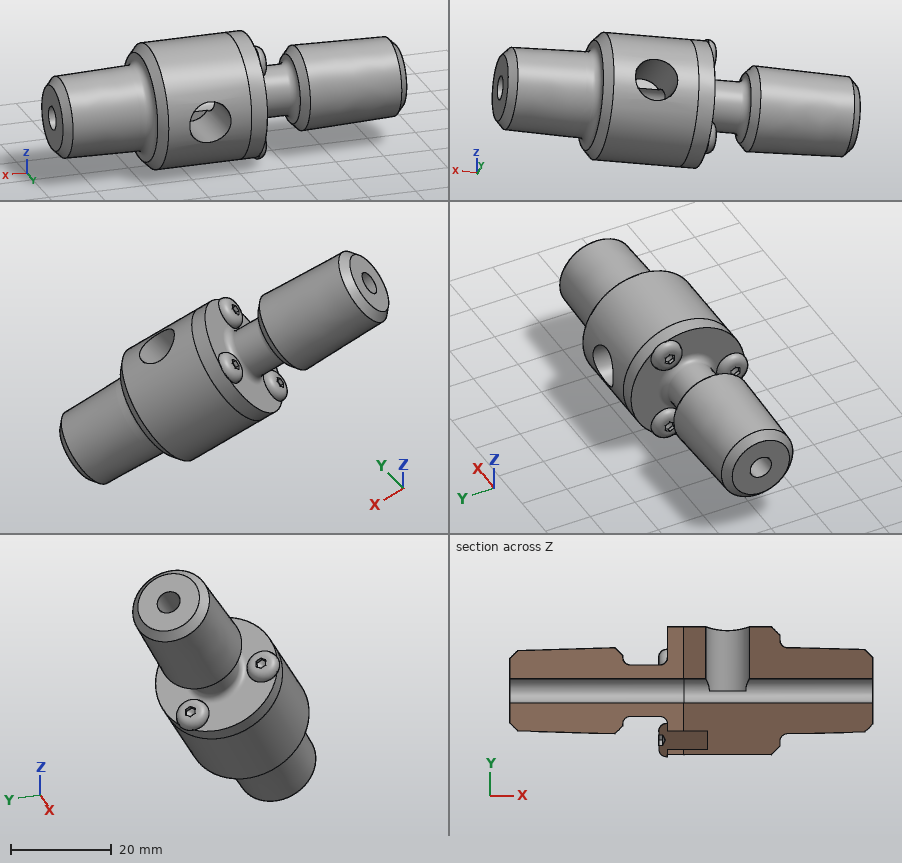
import cadquery as cq
import math

TOTAL_LENGTH = 71.95
BODY_RADIUS = 25.4 / 2
BORE_RADIUS = 4.75 / 2

CONNECTOR_RADIUS = 17.1 / 2
LEFT_TIP_RADIUS = 8.0
RIGHT_TIP_RADIUS = 8.2
END_CHAMFER = 1.6
FILLET = 1.45
ARC_RISE = FILLET * (1 - math.sqrt(0.5))

LEFT_TAPER_END = 20.85
NECK_RADIUS = 10.3 / 2
FLANGE_START = 31.2
FLANGE_THICKNESS = 3.3
FLANGE_END = FLANGE_START + FLANGE_THICKNESS

HOUSING_END = 53.6
HOUSING_CHAMFER = 1.7
RIGHT_TAPER_START = 56.4
PORT_RADIUS = 8.6 / 2
PORT_X = 43.15

SCREW_COUNT = 3
SCREW_CIRCLE_RADIUS = 9.8
FIRST_SCREW_ANGLE = 180.0
HEAD_RADIUS = 6.7 / 2
HEAD_FLAT_RADIUS = 3.45 / 2
HEAD_HEIGHT = 1.7
SHANK_RADIUS = 3.5 / 2
SHANK_LENGTH = 7.9
SOCKET_ACROSS_FLATS = 2.0
SOCKET_CORNER_RADIUS = SOCKET_ACROSS_FLATS / math.sqrt(3)
SOCKET_DEPTH = 0.7
SOCKET_POINT = 0.6


def turned(profile):
    """Revolve a closed X-radius profile about the X axis."""
    return profile.close().revolve(360, (0, 0, 0), (1, 0, 0))


def x_cylinder(start, end, radius):
    return cq.Workplane("YZ", origin=(start, 0, 0)).circle(radius).extrude(end - start)


def place_at_screw(shape, index):
    """Move a shape from the X axis to one of the screw positions."""
    angle = math.radians(FIRST_SCREW_ANGLE + index * 360 / SCREW_COUNT)
    y = SCREW_CIRCLE_RADIUS * math.cos(angle)
    z = SCREW_CIRCLE_RADIUS * math.sin(angle)
    return shape.translate((0, y, z))


def cut_screw_holes(body):
    shank = x_cylinder(FLANGE_START, FLANGE_START + SHANK_LENGTH, SHANK_RADIUS)
    for index in range(SCREW_COUNT):
        body = body.cut(place_at_screw(shank, index))
    return body


def make_cap():
    shoulder_x = LEFT_TAPER_END + END_CHAMFER
    fillet_radius_top = NECK_RADIUS + FILLET
    profile = (
        cq.Workplane("XY")
        .moveTo(0, BORE_RADIUS)
        .lineTo(0, LEFT_TIP_RADIUS - END_CHAMFER)
        .lineTo(END_CHAMFER, LEFT_TIP_RADIUS)
        .lineTo(LEFT_TAPER_END, CONNECTOR_RADIUS)
        .lineTo(shoulder_x, CONNECTOR_RADIUS - END_CHAMFER)
        .lineTo(shoulder_x, fillet_radius_top)
        .threePointArc((shoulder_x + ARC_RISE, NECK_RADIUS + ARC_RISE), (shoulder_x + FILLET, NECK_RADIUS))
        .lineTo(FLANGE_START - FILLET, NECK_RADIUS)
        .threePointArc((FLANGE_START - ARC_RISE, NECK_RADIUS + ARC_RISE), (FLANGE_START, fillet_radius_top))
        .lineTo(FLANGE_START, BODY_RADIUS)
        .lineTo(FLANGE_END, BODY_RADIUS)
        .lineTo(FLANGE_END, BORE_RADIUS)
    )
    return cut_screw_holes(turned(profile))


def make_housing():
    profile = (
        cq.Workplane("XY")
        .moveTo(FLANGE_END, BORE_RADIUS)
        .lineTo(FLANGE_END, BODY_RADIUS)
        .lineTo(HOUSING_END - HOUSING_CHAMFER, BODY_RADIUS)
        .lineTo(HOUSING_END, BODY_RADIUS - HOUSING_CHAMFER)
        .lineTo(HOUSING_END, CONNECTOR_RADIUS + FILLET)
        .threePointArc(
            (HOUSING_END + ARC_RISE, CONNECTOR_RADIUS + ARC_RISE),
            (HOUSING_END + FILLET, CONNECTOR_RADIUS),
        )
        .lineTo(RIGHT_TAPER_START, CONNECTOR_RADIUS)
        .lineTo(TOTAL_LENGTH - END_CHAMFER, RIGHT_TIP_RADIUS)
        .lineTo(TOTAL_LENGTH, RIGHT_TIP_RADIUS - END_CHAMFER)
        .lineTo(TOTAL_LENGTH, BORE_RADIUS)
    )
    port = cq.Workplane("XZ", origin=(PORT_X, 0, 0)).circle(PORT_RADIUS).extrude(-BODY_RADIUS)
    return cut_screw_holes(turned(profile).cut(port))


def make_socket(head_top):
    """Hexagonal recess with a conical bottom; two corners point along Z."""
    full_depth = SOCKET_DEPTH + SOCKET_POINT
    hexagon = (
        cq.Workplane("YZ", origin=(head_top, 0, 0))
        .transformed(rotate=(0, 0, 90))
        .polygon(6, 2 * SOCKET_CORNER_RADIUS)
        .extrude(full_depth)
    )
    pointed = turned(
        cq.Workplane("XY")
        .moveTo(head_top, 0)
        .lineTo(head_top, SOCKET_CORNER_RADIUS)
        .lineTo(head_top + SOCKET_DEPTH, SOCKET_CORNER_RADIUS)
        .lineTo(head_top + full_depth, 0)
    )
    return hexagon.intersect(pointed)


def make_screw(index):
    head_top = FLANGE_START - HEAD_HEIGHT
    shank_end = FLANGE_START + SHANK_LENGTH
    head_round = HEAD_RADIUS - HEAD_FLAT_RADIUS
    head = x_cylinder(head_top, FLANGE_START, HEAD_RADIUS).faces("<X").edges().fillet(head_round)
    shank = x_cylinder(FLANGE_START, shank_end, SHANK_RADIUS)
    return place_at_screw(head.union(shank).cut(make_socket(head_top)), index)


cap = make_cap()
housing = make_housing()
screws = [make_screw(index) for index in range(SCREW_COUNT)]

bodies = [cap, housing, *screws]

result = cq.Compound.makeCompound([body.solids().val() for body in bodies])